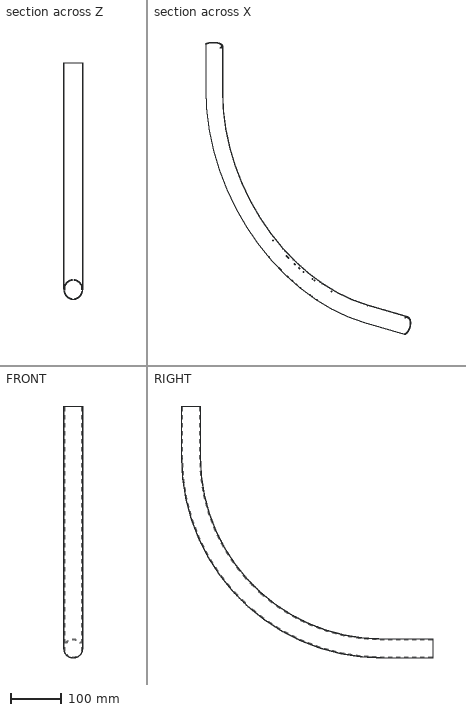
import cadquery as cq

OUTER_DIAMETER = 38.1
INNER_DIAMETER = 33.88
BEND_RADIUS = 381.0
BEND_ANGLE = 90.0
LEG_LENGTH = 101.6

BEND_START = (0, 0, 0)
BEND_END = (0, -BEND_RADIUS, BEND_RADIUS)


def tube_section(center, direction):
    """Annular tube cross-section centred on a point and facing along a direction."""
    plane = cq.Plane(origin=center, xDir=(1, 0, 0), normal=direction)
    return cq.Workplane(plane).circle(OUTER_DIAMETER / 2).circle(INNER_DIAMETER / 2)


def straight_leg(start, direction):
    """Straight length of tube leaving the bend."""
    return tube_section(start, direction).extrude(LEG_LENGTH)


def bend():
    """Bend that leaves its start along -Y and curves up to +Z."""
    axis_start = (0, BEND_RADIUS)
    axis_end = (-1, BEND_RADIUS)
    return tube_section(BEND_START, (0, -1, 0)).revolve(BEND_ANGLE, axis_start, axis_end)


horizontal_leg = straight_leg(BEND_START, (0, 1, 0))
vertical_leg = straight_leg(BEND_END, (0, 0, 1))

result = horizontal_leg.union(bend()).union(vertical_leg)